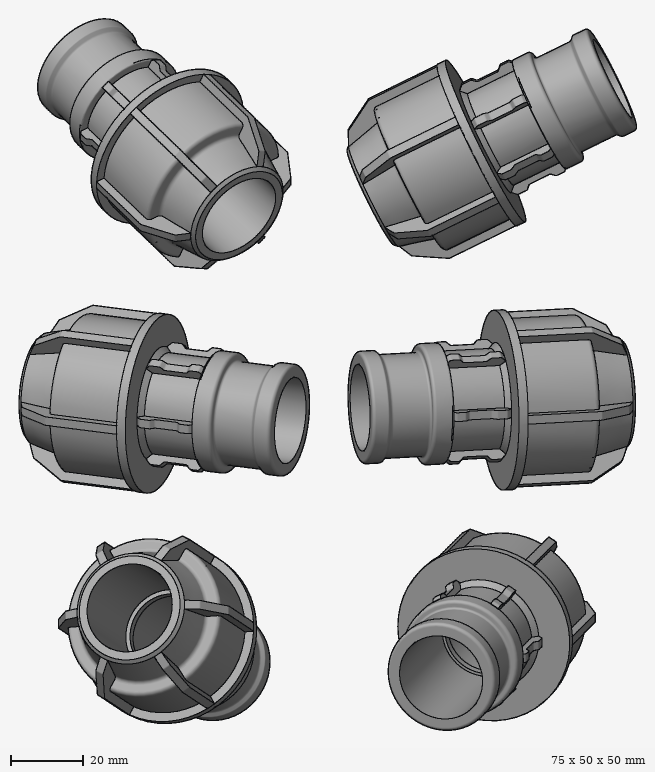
import cadquery as cq
import math


length = 75.0
flange_radius = 50.0 / 2

bead_radius = 31.35 / 2
bead_width = 4.65
groove_radius = 28.95 / 2
ring_radius = 33.75 / 2
ring_start = 17.1
ring_end = 22.9
trunk_radius = groove_radius
edge_round = 1.0
bead_back_round = 0.6
ring_root_round = 0.7
ring_back_round = 0.5

flange_start = 39.4
flange_thickness = 2.6
flange_end = flange_start + flange_thickness
collar_height = 1.6

body_radius = 45.0 / 2
body_end = 63.15
body_round = 1.2
nose_root_radius = 18.45
nose_radius = 15.75
nose_edge = 1.0

rib_count = 6
rib_width = 2.5
rib_round = 0.75
rib_foot = 13.5
grip_shoulder_start = 72.15
grip_shoulder_radius = 19.7
key_radius = 17.4
key_waist_radius = 16.2
key_waist_start = 27.4
key_waist_end = 33.9

spigot_bore = 24.15
stop_bore = 22.5
socket_bore = 25.0


def rounded_outline(corners):
    """Closed outline in the XY plane; each corner is (x, r, rounding radius), 0 leaving it sharp."""
    outline = cq.Workplane("XY")
    count = len(corners)
    for index, (x, r, radius) in enumerate(corners):
        corner = cq.Vector(x, r)
        before = corners[index - 1]
        after = corners[(index + 1) % count]
        to_before = (cq.Vector(before[0], before[1]) - corner).normalized()
        to_after = (cq.Vector(after[0], after[1]) - corner).normalized()
        half_angle = to_before.getAngle(to_after) / 2
        tangent_length = radius / math.tan(half_angle)
        start = corner + to_before * tangent_length
        outline = outline.moveTo(start.x, start.y) if index == 0 else outline.lineTo(start.x, start.y)
        if radius > 0:
            bisector = (to_before + to_after).normalized()
            middle = corner + bisector * (radius / math.sin(half_angle) - radius)
            end = corner + to_after * tangent_length
            outline = outline.threePointArc((middle.x, middle.y), (end.x, end.y))
    return outline.close()


def turned_body():
    """Solid of revolution holding the spigot, flange and nut body."""
    bead_slope = bead_radius - groove_radius
    corners = [
        (0, 0, 0),
        (0, bead_radius, edge_round),
        (bead_width, bead_radius, bead_back_round),
        (bead_width + bead_slope, groove_radius, edge_round),
        (ring_start, groove_radius, ring_root_round),
        (ring_start, ring_radius, edge_round),
        (ring_end, ring_radius, ring_back_round),
        (ring_end, trunk_radius, 0),
        (flange_start - collar_height, trunk_radius, 0),
        (flange_start, trunk_radius + collar_height, 0),
        (flange_start, flange_radius, 0),
        (flange_end, flange_radius, 0),
        (flange_end, body_radius, 0),
        (body_end, body_radius, body_round),
        (body_end, nose_root_radius, body_round),
        (length - nose_edge, nose_radius, 0),
        (length, nose_radius - nose_edge, 0),
        (length, 0, 0),
    ]
    return rounded_outline(corners).revolve(360, (0, 0, 0), (1, 0, 0))


def rib_ring(corners):
    """Flat ribs of the given outline, repeated around the axis."""
    rib = rounded_outline(corners).extrude(rib_width / 2, both=True)
    ribs = rib
    for index in range(1, rib_count):
        ribs = ribs.union(rib.rotate((0, 0, 0), (1, 0, 0), index * 360 / rib_count))
    return ribs


def grip_ribs():
    """Ribs along the nut body, sloping down to the nose."""
    return rib_ring([
        (flange_end, rib_foot, 0),
        (flange_end, flange_radius, 0),
        (body_end, flange_radius, rib_round),
        (grip_shoulder_start, grip_shoulder_radius, rib_round),
        (length - nose_edge, nose_radius, 0),
        (length - nose_edge, rib_foot, 0),
    ])


def key_ribs():
    """Ribs along the trunk, with a lowered waist; all their slopes are at 45 degrees."""
    waist_depth = key_radius - key_waist_radius
    rib_start = ring_end - ring_back_round
    end_slope = key_radius - trunk_radius - collar_height
    return rib_ring([
        (rib_start, rib_foot, 0),
        (rib_start, key_waist_radius, 0),
        (rib_start + waist_depth, key_radius, rib_round),
        (key_waist_start - waist_depth, key_radius, rib_round),
        (key_waist_start, key_waist_radius, rib_round),
        (key_waist_end, key_waist_radius, rib_round),
        (key_waist_end + waist_depth, key_radius, rib_round),
        (flange_start - end_slope, key_radius, rib_round),
        (flange_start, key_radius - end_slope, 0),
        (flange_start, rib_foot, 0),
    ])


def bore_section(start, end, diameter):
    return cq.Workplane("YZ", origin=(start, 0, 0)).circle(diameter / 2).extrude(end - start)


def bore():
    """Stepped through bore."""
    narrow = bore_section(0, length, stop_bore)
    spigot = bore_section(0, flange_start, spigot_bore)
    socket = bore_section(flange_end, length, socket_bore)
    return narrow.union(spigot).union(socket)


result = turned_body().union(grip_ribs()).union(key_ribs()).cut(bore())